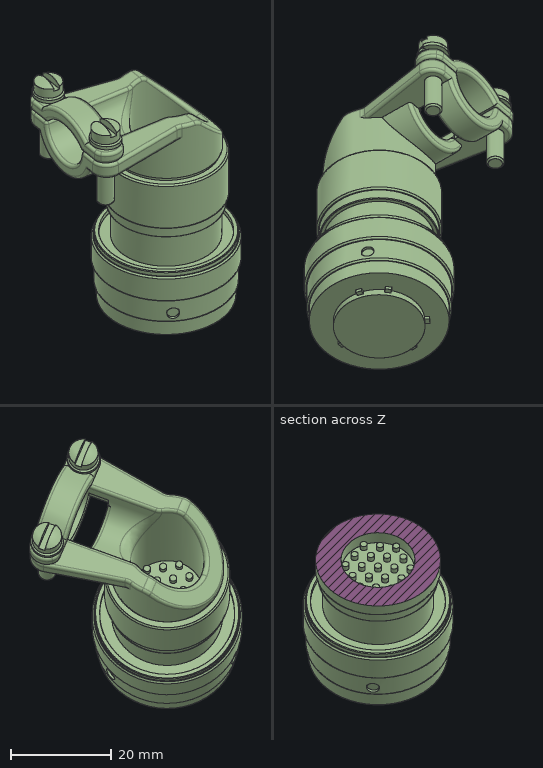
import cadquery as cq
import math

insert_diameter = 18.3
ring_foot_diameter = 27.9
ring_band_diameter = 28.9
ring_grip_diameter = 29.95
ring_recess_diameter = 26.95
barrel_diameter = 22.25
nut_step_diameter = 24.0
nut_diameter = 25.0
neck_diameter = 21.85
edge_chamfer = 0.35
small_chamfer = 0.2

foot_bottom = 1.45
band_bottom = 4.75
grip_bottom = 10.15
grip_top = 16.15
recess_floor = 16.2
ring_top = 17.1
nut_step_bottom = 23.85
nut_bottom = 26.2
nut_top = 37.05
elbow_bottom = 37.8

key_angles = (90, 195, 230, 305, 355)
key_outer_radius = 10.1
key_width = 1.3
key_bottom = 0.75

sight_hole_diameter = 2.55
sight_hole_depth = 0.6
sight_hole_height = 7.0
sight_hole_angles = (90, 210, 330)

elbow_diameter = 22.5
elbow_top = 50.35
slope_start_y = 0.1
slope_corner_radius = 2.45
bore_diameter = 14.65
bore_floor = nut_bottom
spout_diameter = 18.05
spout_front_y = -14.8
channel_radius = 6.05
channel_back_y = -2.9
channel_lip_fillet = 2.45
edge_fillet = 0.7

arm_thickness = 3.4
window_half_width = 5.65
arm_root_half_width = 9.7
arm_tip_half_width = 14.05
arm_corner_radius = 3.35
arm_root_fillet = 2.3
clamp_front_y = -25.2
clamp_back_y = -19.05

strap_back_y = -18.75
strap_gap = 0.2
strap_thickness = 2.55
strap_end_radius = 3.6
strap_corner_radius = 2.3
strap_arch_radius = 8.3
strap_arch_thickness = 2.85
strap_arch_top = 56.0

screw_x = 9.8
screw_y = -21.9
screw_diameter = 3.55
screw_bottom = 38.95
head_diameter = 5.85
head_bottom = 54.85
head_rim = 57.1
head_apex = 58.1
slot_width = 1.4
slot_floor = 56.45
washer_outer_diameter = 6.5
washer_thickness = 0.75
washer_pitch = 0.85
washer_overlap = 0.05

contact_diameter = 1.4
contact_pitch = 3.25
contact_length = 1.15
contacts_across = 5

tolerance = 0.03


def cylinder(diameter, bottom, top, seam_angle=0):
    """Upright cylinder on the Z axis, with the seam of its side turned to the given angle."""
    base = cq.Workplane("XY").workplane(offset=bottom).circle(diameter / 2)
    return base.extrude(top - bottom).rotate((0, 0, 0), (0, 0, 1), seam_angle)


def cylinder_along_y(diameter, front, back, height):
    plane = cq.Plane(origin=(0, front, height), xDir=(-1, 0, 0), normal=(0, 1, 0))
    return cq.Workplane(plane).circle(diameter / 2).extrude(back - front)


def box_between(x_range, y_range, z_range):
    lows, highs = zip(x_range, y_range, z_range)
    sizes = [high - low for low, high in zip(lows, highs)]
    return cq.Workplane("XY").box(*sizes, centered=False).translate(lows)


def make_plug():
    foot = cylinder(ring_foot_diameter, foot_bottom, band_bottom)
    band = cylinder(ring_band_diameter, band_bottom, grip_bottom).faces("<Z").chamfer(edge_chamfer)
    grip = cylinder(ring_grip_diameter, grip_bottom, grip_top).edges().chamfer(edge_chamfer)
    lip = cylinder(ring_band_diameter, grip_top, ring_top).faces(">Z").chamfer(small_chamfer)
    recess = cylinder(ring_recess_diameter, recess_floor, ring_top)
    ring = foot.union(band).union(grip).union(lip).cut(recess)
    barrel = cylinder(barrel_diameter, grip_top, nut_step_bottom)
    return cylinder(insert_diameter, 0, foot_bottom).union(ring).union(barrel)


def make_keys():
    key = box_between((0, key_outer_radius), (-key_width / 2, key_width / 2), (key_bottom, foot_bottom))
    keys = cq.Workplane("XY")
    for angle in key_angles:
        keys = keys.union(key.rotate((0, 0, 0), (0, 0, 1), angle))
    return keys


def make_sight_holes():
    floor_radius = ring_band_diameter / 2 - sight_hole_depth
    hole = cq.Workplane("YZ", origin=(floor_radius, 0, sight_hole_height))
    hole = hole.circle(sight_hole_diameter / 2).extrude(2 * sight_hole_depth)
    holes = cq.Workplane("XY")
    for angle in sight_hole_angles:
        holes = holes.union(hole.rotate((0, 0, 0), (0, 0, 1), angle))
    return holes


def make_nut():
    step = cylinder(nut_step_diameter, nut_step_bottom, nut_bottom).faces("<Z").chamfer(small_chamfer)
    nut = cylinder(nut_diameter, nut_bottom, nut_top).edges().chamfer(edge_chamfer)
    return step.union(nut).union(cylinder(neck_diameter, nut_top, elbow_bottom))


def make_backshell():
    """Elbow cut off at 45 degrees, with two arms, a short spout and the lower clamp saddle."""
    seam_at_back = 90
    plate_bottom = elbow_top - arm_thickness
    arms = (
        cq.Workplane("XY")
        .workplane(offset=plate_bottom)
        .polyline([
            (arm_root_half_width, 0),
            (arm_tip_half_width, clamp_front_y),
            (-arm_tip_half_width, clamp_front_y),
            (-arm_root_half_width, 0),
        ])
        .close()
        .extrude(arm_thickness)
        .edges("|Z and <Y")
        .fillet(arm_corner_radius)
    )
    disc = cylinder(elbow_diameter, plate_bottom, elbow_top, seam_at_back)
    root_box = cq.selectors.BoxSelector(
        (-arm_tip_half_width, -elbow_diameter / 2, plate_bottom),
        (arm_tip_half_width, -tolerance, elbow_top),
    )
    plate = disc.union(arms).edges("|Z").edges(root_box).fillet(arm_root_fillet)
    plate = plate.faces("<Z").edges().fillet(edge_fillet)
    window = box_between(
        (-window_half_width, window_half_width),
        (clamp_back_y, spout_front_y),
        (plate_bottom, elbow_top),
    )
    elbow = cylinder(elbow_diameter, elbow_bottom, elbow_top, seam_at_back)
    body = elbow.union(plate.cut(window))

    reach = elbow_diameter
    slope_angle = math.radians(45)
    tangent = slope_corner_radius * math.tan(slope_angle / 2)
    arc_start = (slope_start_y - tangent, elbow_top)

    def corner_point(angle):
        y = arc_start[0] + slope_corner_radius * math.sin(angle)
        z = elbow_top - slope_corner_radius * (1 - math.cos(angle))
        return (y, z)

    arc_end = corner_point(slope_angle)
    slope = (
        cq.Workplane("YZ", origin=(-reach, 0, 0))
        .moveTo(*arc_start)
        .threePointArc(corner_point(slope_angle / 2), arc_end)
        .lineTo(arc_end[0] + reach, arc_end[1] - reach)
        .lineTo(arc_end[0] + reach, elbow_top + reach)
        .lineTo(arc_start[0], elbow_top + reach)
        .close()
        .extrude(2 * reach)
    )
    body = body.cut(slope)

    upper_half = box_between(
        (-spout_diameter, spout_diameter),
        (clamp_front_y, 0),
        (elbow_top, elbow_top + spout_diameter),
    )
    channel = cylinder_along_y(2 * channel_radius, clamp_front_y, channel_back_y, elbow_top)
    spout = cylinder_along_y(spout_diameter, spout_front_y, channel_back_y, elbow_top)
    saddle = cylinder_along_y(spout_diameter, clamp_front_y, clamp_back_y, elbow_top)
    spout = spout.cut(upper_half).cut(channel).faces("<Y").edges("%CIRCLE").fillet(edge_fillet)
    saddle = saddle.cut(upper_half).edges("%CIRCLE").fillet(edge_fillet)
    body = body.union(spout).union(saddle)

    bore = cylinder(bore_diameter, elbow_bottom, elbow_top, seam_at_back)
    body = body.cut(channel).cut(bore)

    def is_channel_lip(edge):
        box = edge.BoundingBox()
        between_mouths = box.ymin > spout_front_y + tolerance and box.ymax < channel_back_y
        spans_middle = box.xmin < 0 < box.xmax
        return between_mouths and spans_middle and box.zmax > elbow_top - tolerance

    def is_rim(edge):
        box = edge.BoundingBox()
        on_top = box.zmin > elbow_top - tolerance
        on_slope = box.ymin > arc_start[0] - tolerance and box.zmin > elbow_bottom + tolerance
        on_channel_mouth = box.ymax < clamp_front_y + tolerance and abs(box.xmax - channel_radius) < tolerance
        is_face_seam = box.ylen < tolerance and box.ymin > arc_start[0] - tolerance
        return (on_top or on_slope or on_channel_mouth) and not is_face_seam

    body = body.edges().filter(is_channel_lip).fillet(channel_lip_fillet)
    return body.edges().filter(is_rim).fillet(edge_fillet)


def make_strap():
    bottom = elbow_top + strap_gap
    top = bottom + strap_thickness
    inner = strap_arch_radius
    outer = inner + strap_arch_thickness
    centre_z = strap_arch_top - outer
    inner_x = math.sqrt(inner**2 - (bottom - centre_z) ** 2)
    outer_x = math.sqrt(outer**2 - (top - centre_z) ** 2)
    half_length = screw_x + strap_end_radius
    profile = (
        cq.Workplane("XZ", origin=(0, clamp_front_y, 0))
        .moveTo(-half_length, bottom)
        .lineTo(-inner_x, bottom)
        .threePointArc((0, centre_z + inner), (inner_x, bottom))
        .lineTo(half_length, bottom)
        .lineTo(half_length, top)
        .lineTo(outer_x, top)
        .threePointArc((0, strap_arch_top), (-outer_x, top))
        .lineTo(-half_length, top)
        .close()
        .extrude(clamp_front_y - strap_back_y)
    )
    outline = box_between((-screw_x, screw_x), (clamp_front_y, strap_back_y), (bottom, strap_arch_top))
    for x in (-screw_x, screw_x):
        round_end = cylinder(2 * strap_end_radius, bottom, strap_arch_top).translate((x, screw_y, 0))
        outline = outline.union(round_end)
    strap = profile.intersect(outline).edges("|Z").fillet(strap_corner_radius)
    return strap.edges("(not |Z) and (not |Y)").fillet(edge_fillet)


def make_screw():
    shaft = cylinder(screw_diameter, screw_bottom, head_bottom).faces("<Z").chamfer(edge_chamfer)
    head_radius = head_diameter / 2
    dome_height = head_apex - head_rim
    dome_radius = (head_radius**2 + dome_height**2) / (2 * dome_height)
    dome = cq.Workplane("XY").sphere(dome_radius).translate((0, 0, head_apex - dome_radius))
    head = cylinder(head_diameter, head_bottom, head_apex).intersect(dome)
    slot = box_between(
        (-head_radius, head_radius),
        (-slot_width / 2, slot_width / 2),
        (slot_floor, head_apex),
    )
    return shaft.union(head).cut(slot)


def make_spring_washer():
    """One left-handed turn of a rectangular coil, split on the -X side."""
    inner_radius = screw_diameter / 2 - washer_overlap
    width = washer_outer_diameter / 2 - inner_radius
    middle_radius = inner_radius + width / 2
    coil = cq.Wire.makeHelix(washer_pitch, washer_pitch, middle_radius, lefthand=True)
    section = cq.Workplane("XZ", origin=(middle_radius, 0, 0)).rect(width, washer_thickness)
    bottom = head_bottom - washer_pitch - washer_thickness / 2 + washer_overlap
    return (
        section.sweep(cq.Workplane(coil), isFrenet=True)
        .rotate((0, 0, 0), (0, 0, 1), 180)
        .translate((0, 0, bottom))
    )


def make_contacts():
    """Hexagonal pattern of short pins on the floor of the bore."""
    points = []
    rings = contacts_across // 2
    for row in range(-rings, rings + 1):
        count = contacts_across - abs(row)
        for column in range(count):
            x = (column - (count - 1) / 2) * contact_pitch
            points.append((x, row * contact_pitch * math.sqrt(3) / 2))
    base = cq.Workplane("XY").workplane(offset=bore_floor)
    return base.pushPoints(points).circle(contact_diameter / 2).extrude(contact_length)


plug = make_plug().union(make_keys()).cut(make_sight_holes())
lower_bore = cylinder(bore_diameter, bore_floor, elbow_bottom)
screw = make_screw().union(make_spring_washer())

result = plug.union(make_nut()).union(make_backshell()).cut(lower_bore)
result = result.union(make_strap())
for side in (-1, 1):
    result = result.union(screw.translate((side * screw_x, screw_y, 0)))
result = result.union(make_contacts())